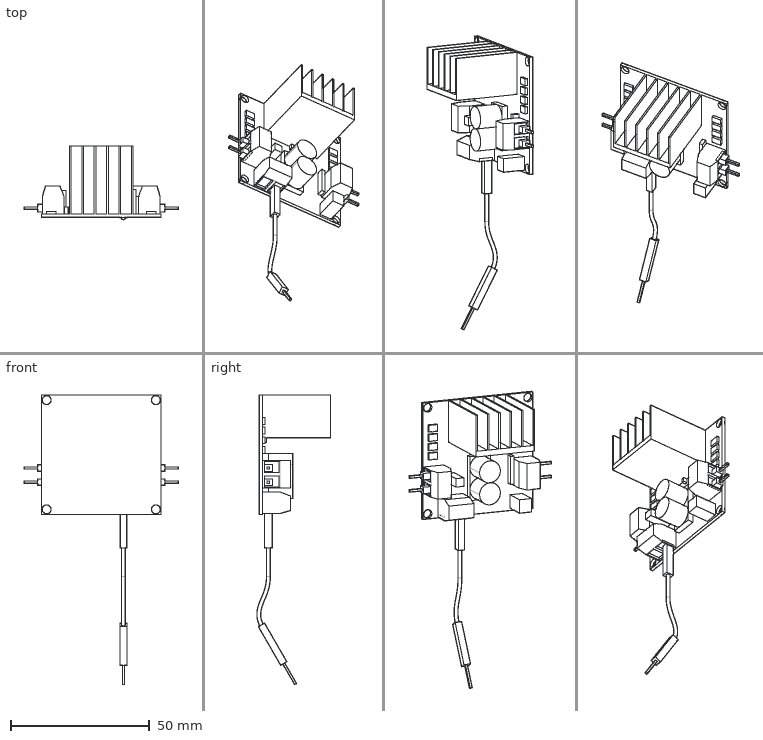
import cadquery as cq
import math

BOARD_SIZE = 43.2
BOARD_THICK = 1.3
HALF_BOARD = BOARD_SIZE / 2
HOLE_DIA = 3.1
HOLE_INSET = 1.9

SINK_WIDTH = 23.0
SINK_HEIGHT = 15.5
SINK_TOP_Y = 25.8
SINK_FLOOR = 2.1
FIN_COUNT = 6
FIN_THICK = 0.6
LEAD_WIDTH = 1.0
LEAD_TOP_Y = 2.7
LEAD_DROP = 1.7

TERM_DEPTH = 7.8
TERM_LENGTH = 9.8
TERM_HEIGHT = 10.1
TERM_SHOULDER = 6.3
TERM_SETBACK = 0.3
FRONT_SLOPE = 1.2
BACK_SLOPE = 1.5
POLE_PITCH = 5.1
ENTRY_LENGTH = 4.0
ENTRY_OFFSETS = (-POLE_PITCH / 2, POLE_PITCH / 2)
ENTRY_BOTTOM = 1.9
ENTRY_TOP = 7.2
ENTRY_DEPTH = 1.0
SIDE_TERM_Z = -7.0
BOTTOM_TERM_X = 10.9

SLEEVE_LENGTH = 2.4
SLEEVE_HEIGHT = 2.9
SLEEVE_REACH = 1.7
WIRE_Y = 3.3
WIRE_WIDTH = 0.8
WIRE_SHIFT = 0.3
WIRE_TIP = 27.8
WIRE_OFFSETS = [entry_z - WIRE_SHIFT for entry_z in ENTRY_OFFSETS]

LEAD_SLEEVE_END_Z = -33.6
CABLE_DIA = 1.5
CABLE_STRAIGHT_END_Z = -43.9
CABLE_SLOPE_Y = 1.9
CABLE_SLOPE_Z = -50.8
CABLE_LOW_Y = -0.1
CABLE_LOW_Z = -57.1
PROBE_ANGLE = 30.0
PROBE_START_Y = 0.8
PROBE_START_Z = -61.4
PROBE_WIDTH = 2.6
PROBE_LENGTH = 16.1
TIP_LENGTH = 8.6

CAN_DIA = 8.2
CAN_PAIR_Z = -7.6
CAN_BASE_TOP_Y = 3.5
CAN_TOP_Y = 12.1

CHIP_X = 18.0
CHIP_WIDTH = 3.5
CHIP_LENGTH = 2.5
CHIP_THICK = 0.9
CHIP_PITCH = 3.5
CHIP_COUNT = 4
CHIP_FIRST_Z = 12.1

TRIMMER_X = (-17.5, -12.7)
TRIMMER_Z = (-20.7, -15.7)
TRIMMER_TOP_Y = 9.7
STRIP_X = (-13.2, -11.8)
STRIP_Z = (-11.3, -0.8)
STRIP_TOP_Y = 3.8
UPRIGHT_X = (9.4, 12.6)
UPRIGHT_Z = (-8.5, -5.3)
UPRIGHT_TOP_Y = 10.0


def block(x_range, y_range, z_range):
    """Box between the given limits along X, Y and Z."""
    size = [b - a for a, b in (x_range, y_range, z_range)]
    corner = (x_range[0], y_range[0], z_range[0])
    return cq.Workplane("XY").box(*size, centered=False).translate(corner)


def span(middle, length):
    """Limits of a length centred on middle."""
    return (middle - length / 2, middle + length / 2)


def on_board(top_y):
    """Limits along Y of a part standing on the back of the board."""
    return (BOARD_THICK, top_y)


def make_board():
    hole_spacing = BOARD_SIZE - 2 * HOLE_INSET
    board = block(span(0, BOARD_SIZE), (0, BOARD_THICK), span(0, BOARD_SIZE))
    front = board.faces("<Y").workplane(origin=(0, 0, 0))
    corners = front.rect(hole_spacing, hole_spacing, forConstruction=True).vertices()
    return corners.hole(HOLE_DIA)


def make_heat_sink():
    bottom_z = HALF_BOARD - SINK_HEIGHT
    depth = on_board(SINK_TOP_Y)
    sink = block(span(0, SINK_WIDTH), depth, (bottom_z, bottom_z + SINK_FLOOR))
    fin_pitch = (SINK_WIDTH - FIN_THICK) / (FIN_COUNT - 1)
    for i in range(FIN_COUNT):
        fin_x = (i - (FIN_COUNT - 1) / 2) * fin_pitch
        sink = sink.union(block(span(fin_x, FIN_THICK), depth, (bottom_z, HALF_BOARD)))
    lead = block(span(0, LEAD_WIDTH), on_board(LEAD_TOP_Y), (bottom_z - LEAD_DROP, bottom_z))
    return sink.union(lead)


def make_terminal():
    """Terminal at the right-hand edge, wire entries facing +X, middle at Z = 0."""
    face_x = HALF_BOARD - TERM_SETBACK
    back_x = face_x - TERM_DEPTH
    shoulder_y = BOARD_THICK + TERM_SHOULDER
    top_y = BOARD_THICK + TERM_HEIGHT
    body = (
        cq.Workplane("XY")
        .polyline([
            (back_x, BOARD_THICK), (face_x, BOARD_THICK), (face_x, shoulder_y),
            (face_x - FRONT_SLOPE, top_y), (back_x + BACK_SLOPE, top_y), (back_x, shoulder_y),
        ])
        .close().extrude(TERM_LENGTH / 2, both=True)
    )
    for entry_z in ENTRY_OFFSETS:
        entry = block((face_x - ENTRY_DEPTH, face_x), (ENTRY_BOTTOM, ENTRY_TOP), span(entry_z, ENTRY_LENGTH))
        body = body.cut(entry)
    return body


def make_sleeve(wire_z, end_x):
    """Wire sleeve from the floor of a wire entry out to end_x."""
    start_x = HALF_BOARD - TERM_SETBACK - ENTRY_DEPTH
    return block((start_x, end_x), span(WIRE_Y, SLEEVE_HEIGHT), span(wire_z, SLEEVE_LENGTH))


def make_side_terminal():
    terminal = make_terminal()
    sleeve_end = HALF_BOARD - TERM_SETBACK + SLEEVE_REACH
    for wire_z in WIRE_OFFSETS:
        wire = block((sleeve_end, WIRE_TIP), span(WIRE_Y, WIRE_WIDTH), span(wire_z, WIRE_WIDTH))
        terminal = terminal.union(make_sleeve(wire_z, sleeve_end)).union(wire)
    return terminal.translate((0, 0, SIDE_TERM_Z))


def make_bottom_terminal():
    """Same terminal turned to face -Z, with a long sleeve in one entry only."""
    terminal = make_terminal().union(make_sleeve(WIRE_OFFSETS[0], -LEAD_SLEEVE_END_Z))
    return terminal.rotate((0, 0, 0), (0, 1, 0), 90).translate((BOTTOM_TERM_X, 0, 0))


def make_probe_lead():
    cable_x = BOTTOM_TERM_X + WIRE_OFFSETS[0]
    lean = math.radians(PROBE_ANGLE)
    along = cq.Vector(0, math.sin(lean), -math.cos(lean))
    start = cq.Vector(cable_x, PROBE_START_Y, PROBE_START_Z)
    plane = cq.Workplane("YZ", origin=(cable_x, 0, 0))
    path = (
        plane.moveTo(WIRE_Y, LEAD_SLEEVE_END_Z).lineTo(WIRE_Y, CABLE_STRAIGHT_END_Z)
        .spline(
            [(CABLE_SLOPE_Y, CABLE_SLOPE_Z), (CABLE_LOW_Y, CABLE_LOW_Z), (PROBE_START_Y, PROBE_START_Z)],
            tangents=[(0, -1), (along.y, along.z)], includeCurrent=True,
        )
    )
    cable = cq.Workplane("XY", origin=(cable_x, WIRE_Y, LEAD_SLEEVE_END_Z)).circle(CABLE_DIA / 2).sweep(path)
    probe_base = cq.Workplane(cq.Plane(origin=start, xDir=(1, 0, 0), normal=along))
    probe = probe_base.rect(PROBE_WIDTH, PROBE_WIDTH).extrude(PROBE_LENGTH)
    tip = probe_base.rect(WIRE_WIDTH, WIRE_WIDTH).extrude(PROBE_LENGTH + TIP_LENGTH)
    return cable.union(probe).union(tip)


def make_capacitors():
    pair = cq.Workplane("XY")
    for side in (-1, 1):
        can_z = CAN_PAIR_Z + side * CAN_DIA / 2
        base = block(span(0, CAN_DIA), on_board(CAN_BASE_TOP_Y), span(can_z, CAN_DIA))
        can = cq.Workplane("XZ", origin=(0, CAN_TOP_Y, can_z)).circle(CAN_DIA / 2)
        pair = pair.union(base).union(can.extrude(CAN_TOP_Y - CAN_BASE_TOP_Y))
    return pair


def make_chips():
    height = on_board(BOARD_THICK + CHIP_THICK)
    chips = cq.Workplane("XY")
    for side in (-1, 1):
        for i in range(CHIP_COUNT):
            chip_z = CHIP_FIRST_Z - i * CHIP_PITCH
            chip = block(span(side * CHIP_X, CHIP_WIDTH), height, span(chip_z, CHIP_LENGTH))
            chips = chips.union(chip)
    return chips


def make_low_parts():
    """Plain block parts beside the capacitors."""
    trimmer = block(TRIMMER_X, on_board(TRIMMER_TOP_Y), TRIMMER_Z)
    strip = block(STRIP_X, on_board(STRIP_TOP_Y), STRIP_Z)
    upright = block(UPRIGHT_X, on_board(UPRIGHT_TOP_Y), UPRIGHT_Z)
    return trimmer.union(strip).union(upright)


side_terminal = make_side_terminal()
result = make_board()
for piece in (
    make_heat_sink(), side_terminal, side_terminal.mirror("YZ"), make_bottom_terminal(),
    make_probe_lead(), make_capacitors(), make_chips(), make_low_parts(),
):
    result = result.union(piece)